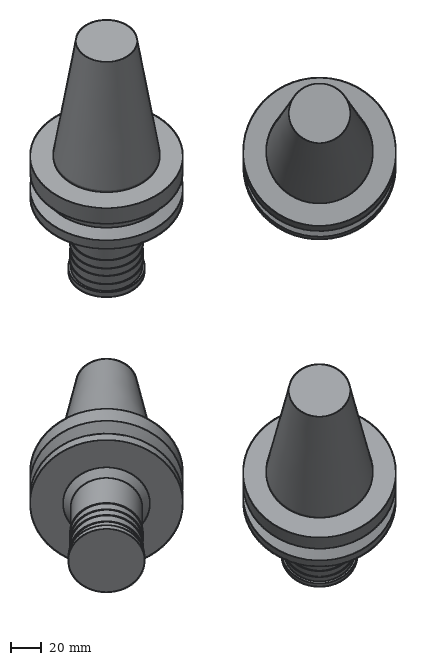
import cadquery as cq

total_height = 206.8
gauge_height = 105.0

gauge_diameter = 70.0
taper_ratio = 7 / 24
taper_length = total_height - gauge_height
taper_tip_diameter = gauge_diameter - taper_length * taper_ratio

flange_diameter = 100.0
flange_top = 103.6
flange_bottom = 67.0
groove_diameter = 85.0
groove_center = 82.0
groove_floor_width = 6.5
groove_mouth_width = 14.9

nose_diameter = 47.0
cone_height = 5.0
cone_top_diameter = nose_diameter + 2 * cone_height

band_diameter = 48.0
band_width = 7.5
lower_band_bottom = 10.5
upper_band_bottom = 24.6
collar_diameter = 50.0
collar_height = 4.3


def disc(diameter, bottom, height):
    """Cylinder on the Z axis."""
    return cq.Workplane("XY").workplane(offset=bottom).circle(diameter / 2).extrude(height)


def cone(bottom_diameter, top_diameter, bottom, height):
    """Truncated cone on the Z axis."""
    profile = [
        (0, bottom),
        (bottom_diameter / 2, bottom),
        (top_diameter / 2, bottom + height),
        (0, bottom + height),
    ]
    return cq.Workplane("XZ").polyline(profile).close().revolve(360, (0, 0), (0, 1))


def grooved_flange():
    """Flange cut all round by the gripper groove."""
    groove_profile = [
        (groove_diameter / 2, groove_center - groove_floor_width / 2),
        (flange_diameter / 2, groove_center - groove_mouth_width / 2),
        (flange_diameter / 2, groove_center + groove_mouth_width / 2),
        (groove_diameter / 2, groove_center + groove_floor_width / 2),
    ]
    groove = cq.Workplane("XZ").polyline(groove_profile).close().revolve(360, (0, 0), (0, 1))
    return disc(flange_diameter, flange_bottom, flange_top - flange_bottom).cut(groove)


result = grooved_flange()
result = result.union(disc(gauge_diameter, flange_top, gauge_height - flange_top))
result = result.union(cone(gauge_diameter, taper_tip_diameter, gauge_height, taper_length))

result = result.union(disc(nose_diameter, 0, flange_bottom))
result = result.union(cone(nose_diameter, cone_top_diameter, flange_bottom - cone_height, cone_height))

for band_bottom in (lower_band_bottom, upper_band_bottom):
    result = result.union(disc(band_diameter, band_bottom, band_width))
result = result.union(disc(collar_diameter, 0, collar_height))